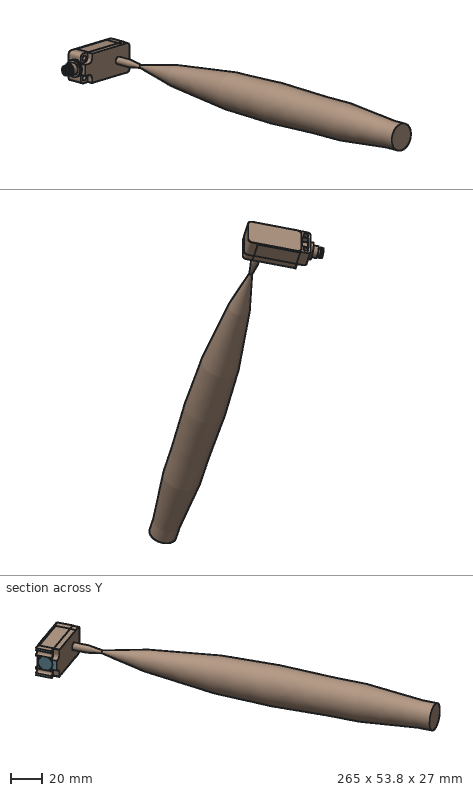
import cadquery as cq

OVERALL_LENGTH = 265

HOUSING_DEPTH = 15.0
HOUSING_HEIGHT = 20.1
HOUSING_TOP_Y = 10.5
HOUSING_END_Y = -31.0
CORNER_RADIUS = 2.6
PARTING_X = 11.0
PARTING_STEP = 0.13

SIDE_RECESS_START_X = 1.0
SIDE_RECESS_TOP_Y = 4.0
SIDE_RECESS_END_Y = -24.0
SIDE_RECESS_DEPTH = 0.13

PANEL_THICKNESS = 0.3
PANEL_END_Y = -24.6
PANEL_MARGIN = 0.13

EAR_HOLE_DIAMETER = 3.2
EAR_HOLE_Y = -27.5
EAR_HOLE_Z = 6.5
NOTCH_RADIUS = 3.0

WINDOW_START_Y = -25.2
WINDOW_END_Y = -29.5
WINDOW_WIDTH = 8.5

PLUG_X = 6.5
PLUG_TIP_Y = -40.3
BARREL_DIAMETER = 10.0
FLANGE_DIAMETER = 11.5
FLANGE_END_Y = -33.0
COLLAR_DIAMETER = 8.0
COLLAR_END_Y = -36.8
NECK_DIAMETER = 5.8
NECK_END_Y = -38.5
TIP_COLLAR_DIAMETER = 7.0
TIP_COLLAR_END_Y = -39.5
TIP_DIAMETER = 6.5
SOCKET_DIAMETER = 5.0
SOCKET_DEPTH = 5.0
PIN_DIAMETER = 1.0
PIN_LENGTH = 4.0
PIN_COUNT = 3
PIN_CIRCLE_DIAMETER = 3.2

BEAM_LENGTH = OVERALL_LENGTH - HOUSING_DEPTH
NOZZLE_DIAMETER = 5.0
THROAT_DIAMETER = 2.0
END_DIAMETER = 18.0
BEAM_STATIONS = [
    (0, NOZZLE_DIAMETER),
    (10.0, NOZZLE_DIAMETER),
    (20.0, THROAT_DIAMETER),
    (50.0, 14.3),
    (100.0, 25.0),
    (140.0, 27.0),
    (180.0, 25.0),
    (200.0, 25.0),
    (240.0, END_DIAMETER),
    (BEAM_LENGTH, END_DIAMETER),
]


def box_between(x_start, x_end, y_start, y_end, z_start, z_end):
    """Box given by its limits along each axis."""
    return cq.Workplane("XY").box(
        x_end - x_start, y_end - y_start, z_end - z_start, centered=False
    ).translate((x_start, y_start, z_start))


def plug_cylinder(diameter, y_start, y_end):
    """Cylinder on the plug axis, running toward -Y from y_start to y_end."""
    return (
        cq.Workplane("XZ", origin=(PLUG_X, y_start, 0))
        .circle(diameter / 2)
        .extrude(y_start - y_end)
    )


def housing_slice(x_start, x_end, inset):
    """Slice of the housing with rounded corners and side recesses, inset on all four sides."""
    half_height = HOUSING_HEIGHT / 2 - inset
    block = box_between(
        x_start, x_end, HOUSING_END_Y + inset, HOUSING_TOP_Y - inset, -half_height, half_height
    )
    block = block.edges("|X").fillet(CORNER_RADIUS)
    recess = box_between(
        max(x_start, SIDE_RECESS_START_X),
        x_end,
        SIDE_RECESS_END_Y,
        SIDE_RECESS_TOP_Y,
        half_height - SIDE_RECESS_DEPTH,
        half_height,
    )
    return block.cut(recess).cut(recess.mirror("XY"))


def face_panel():
    """Thin raised panel with rounded corners."""
    half_height = HOUSING_HEIGHT / 2 - PANEL_MARGIN
    panel = box_between(
        0, PANEL_THICKNESS, PANEL_END_Y, HOUSING_TOP_Y - PANEL_MARGIN, -half_height, half_height
    )
    return panel.edges("|X").fillet(CORNER_RADIUS)


def corner_notch(side):
    """Notch behind a mounting hole, open to the plug end and to one side (+1 or -1 in Z)."""
    notch = box_between(
        PARTING_X,
        HOUSING_DEPTH,
        HOUSING_END_Y,
        EAR_HOLE_Y + NOTCH_RADIUS,
        EAR_HOLE_Z - NOTCH_RADIUS,
        HOUSING_HEIGHT / 2,
    )
    notch = notch.edges("|X and >Y and <Z").fillet(NOTCH_RADIUS)
    return notch if side > 0 else notch.mirror("XY")


def make_housing():
    body = face_panel()
    body = body.union(housing_slice(PANEL_THICKNESS, PARTING_X, 0))
    body = body.union(housing_slice(PARTING_X, HOUSING_DEPTH, PARTING_STEP))

    for side in (1, -1):
        ear_hole = (
            cq.Workplane("YZ")
            .center(EAR_HOLE_Y, side * EAR_HOLE_Z)
            .circle(EAR_HOLE_DIAMETER / 2)
            .extrude(HOUSING_DEPTH)
        )
        body = body.cut(ear_hole).cut(corner_notch(side))

    window = box_between(
        0, PLUG_X, WINDOW_END_Y, WINDOW_START_Y, -WINDOW_WIDTH / 2, WINDOW_WIDTH / 2
    )
    return body.cut(window).cut(plug_cylinder(BARREL_DIAMETER, WINDOW_START_Y, HOUSING_END_Y))


def make_plug():
    steps = [
        (BARREL_DIAMETER, WINDOW_START_Y, HOUSING_END_Y),
        (FLANGE_DIAMETER, HOUSING_END_Y, FLANGE_END_Y),
        (COLLAR_DIAMETER, FLANGE_END_Y, COLLAR_END_Y),
        (NECK_DIAMETER, COLLAR_END_Y, NECK_END_Y),
        (TIP_COLLAR_DIAMETER, NECK_END_Y, TIP_COLLAR_END_Y),
        (TIP_DIAMETER, TIP_COLLAR_END_Y, PLUG_TIP_Y),
    ]
    plug = plug_cylinder(*steps[0])
    for step in steps[1:]:
        plug = plug.union(plug_cylinder(*step))

    socket_floor_y = PLUG_TIP_Y + SOCKET_DEPTH
    plug = plug.cut(plug_cylinder(SOCKET_DIAMETER, socket_floor_y, PLUG_TIP_Y))
    pins = (
        cq.Workplane("XZ", origin=(PLUG_X, socket_floor_y, 0))
        .polarArray(PIN_CIRCLE_DIAMETER / 2, 0, 360, PIN_COUNT)
        .circle(PIN_DIAMETER / 2)
        .extrude(PIN_LENGTH)
    )
    return plug.union(pins)


def make_beam():
    outline = [(HOUSING_DEPTH + distance, diameter / 2) for distance, diameter in BEAM_STATIONS]
    return (
        cq.Workplane("XZ")
        .moveTo(HOUSING_DEPTH, 0)
        .polyline(outline, includeCurrent=True)
        .lineTo(HOUSING_DEPTH + BEAM_LENGTH, 0)
        .close()
        .revolve(360, (0, 0, 0), (1, 0, 0))
    )


housing = make_housing()
plug = make_plug()
beam = make_beam()
result = cq.Compound.makeCompound([housing.val(), plug.val(), beam.val()])